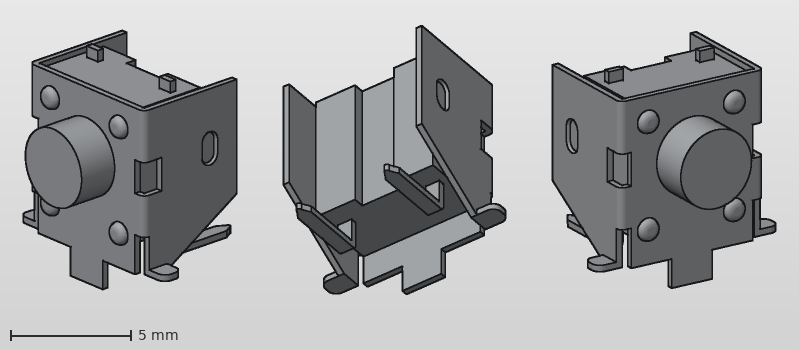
import cadquery as cq
import math


SHEET = 0.29
BRACKET_WIDTH = 7.1
BRACKET_HEIGHT = 7.5
BRACKET_DEPTH = 5.21
FRONT_WIDTH = 6.0
REAR_BOTTOM_Z = 2.355

TAB_WIDTH = 2.0
TAB_LENGTH = 1.3

CORNER_CUT_TOP = 1.785
WINDOW_BOTTOM = 3.65
WINDOW_HEIGHT = 1.5
WINDOW_DEPTH = 1.0

FOOT_SPAN = 9.0
FOOT_REAR = 1.31
FOOT_RADIUS = 0.405

RECESS_WIDTH = 0.865
RECESS_HEIGHT = 1.5
RECESS_DEPTH = 0.15
RECESS_INSET = 0.07
RECESS_Y = 3.7
RECESS_Z = 4.81

HOUSING_SIZE = 6.0
HOUSING_TOP = 7.4
HOUSING_REAR = 3.65
REAR_SLOT_WIDTH = 2.0
REAR_SLOT_DEPTH = 0.515
BUTTON_DIAMETER = 3.5
BUTTON_PROJECTION = 1.85
BUTTON_Z = 4.39

RIVET_RADIUS = 0.51
RIVET_HEIGHT = 0.3
RIVET_PITCH_X = 4.25
RIVET_PITCH_Z = 4.79
RIVET_CENTER_X = -0.06
RIVET_CENTER_Z = 3.965

PIN_PITCH = 4.5
PIN_WIDTH = 0.7
PIN_THICKNESS = 0.3
PIN_Y = 2.5
PIN_STUB = 0.405
PIN_TIP_Y = 6.0
PIN_TIP_RADIUS = 0.12
PIN_SHOULDER_Y = 5.49
PIN_BEND_RADIUS = 0.2

SIDES = (-1, 1)


def block(x_range, y_range, z_range):
    """Box between the given limits along each axis."""
    (x0, x1), (y0, y1), (z0, z1) = (sorted(limits) for limits in (x_range, y_range, z_range))
    return cq.Workplane("XY").box(x1 - x0, y1 - y0, z1 - z0, centered=False).translate((x0, y0, z0))


def folded_sheet():
    """Front plate and two side walls with sloped lower edges."""
    half = BRACKET_WIDTH / 2
    outside = (
        block((-half, half), (0, BRACKET_DEPTH), (0, BRACKET_HEIGHT))
        .edges("|Z and <Y")
        .fillet(SHEET)
    )
    inner = half - SHEET
    inside = block((-inner, inner), (SHEET, BRACKET_DEPTH), (0, BRACKET_HEIGHT))
    slope = (
        cq.Workplane("YZ")
        .polyline([(FOOT_REAR, 0), (BRACKET_DEPTH, 0), (BRACKET_DEPTH, REAR_BOTTOM_Z)])
        .close()
        .extrude(half, both=True)
    )
    return outside.cut(inside).cut(slope)


def corner_cuts(side):
    """Openings through one bend: the lower corner and the window."""
    edge = side * FRONT_WIDTH / 2
    outer = side * BRACKET_WIDTH / 2
    lower = block((edge, outer), (0, SHEET), (0, CORNER_CUT_TOP))
    window_z = (WINDOW_BOTTOM, WINDOW_BOTTOM + WINDOW_HEIGHT)
    window = block((edge, outer), (0, WINDOW_DEPTH), window_z)
    return lower.union(window)


def foot(side):
    """Flat foot bent outwards, with rounded outer corners."""
    wall_inside = side * (BRACKET_WIDTH / 2 - SHEET)
    tip_edges = "|Z and >X" if side > 0 else "|Z and <X"
    plate = block((wall_inside, side * FOOT_SPAN / 2), (SHEET, FOOT_REAR), (0, SHEET))
    return plate.edges(tip_edges).fillet(FOOT_RADIUS)


def wall_recess(side):
    """Tapered slot sunk into the outside of one side wall."""
    wall = cq.Plane(
        origin=(side * BRACKET_WIDTH / 2, RECESS_Y, RECESS_Z),
        xDir=(0, 0, 1),
        normal=(-side, 0, 0),
    )
    taper = math.degrees(math.atan2(RECESS_INSET, RECESS_DEPTH))
    return (
        cq.Workplane(wall)
        .slot2D(RECESS_HEIGHT, RECESS_WIDTH)
        .extrude(RECESS_DEPTH, taper=taper)
    )


def button():
    """Round button from the front of the housing out through the bracket."""
    return (
        cq.Workplane("XZ", origin=(0, SHEET, BUTTON_Z))
        .circle(BUTTON_DIAMETER / 2)
        .extrude(SHEET + BUTTON_PROJECTION)
    )


def make_bracket():
    """Folded bracket with its tab, feet, cut-outs and the hole for the button."""
    bracket = folded_sheet()
    half_tab = TAB_WIDTH / 2
    tab = block((-half_tab, half_tab), (0, SHEET), (-TAB_LENGTH, 0))
    bracket = bracket.union(tab)
    for side in SIDES:
        bracket = bracket.cut(corner_cuts(side)).union(foot(side)).cut(wall_recess(side))
    return bracket.cut(button())


def make_housing(pins):
    """Housing with its button, a slot down the back and a passage for each terminal."""
    half = HOUSING_SIZE / 2
    housing_z = (HOUSING_TOP - HOUSING_SIZE, HOUSING_TOP)
    body = block((-half, half), (SHEET, HOUSING_REAR), housing_z)
    half_slot = REAR_SLOT_WIDTH / 2
    rear_slot = block((-half_slot, half_slot), (HOUSING_REAR - REAR_SLOT_DEPTH, HOUSING_REAR), housing_z)
    housing = body.cut(rear_slot).union(button())
    for pin in pins:
        housing = housing.cut(pin)
    return housing


def make_rivet(x, z):
    """Rivet head on the front of the bracket: flat middle inside a quarter-round rim."""
    flat_radius = RIVET_RADIUS - RIVET_HEIGHT
    rim_offset = RIVET_HEIGHT * math.sqrt(0.5)
    return (
        cq.Workplane("XY")
        .moveTo(0, 0)
        .lineTo(RIVET_RADIUS, 0)
        .threePointArc((flat_radius + rim_offset, -rim_offset), (flat_radius, -RIVET_HEIGHT))
        .lineTo(0, -RIVET_HEIGHT)
        .close()
        .revolve(360, (0, 0, 0), (0, 1, 0))
        .translate((x, 0, z))
    )


def make_pin(x):
    """Terminal: upright strip bent back at the mounting plane into a pointed leg."""
    half = PIN_WIDTH / 2
    front = PIN_Y - PIN_THICKNESS / 2
    rear = PIN_Y + PIN_THICKNESS / 2
    top = BRACKET_HEIGHT + PIN_STUB
    tip_base = PIN_TIP_Y - PIN_TIP_RADIUS
    leg = (
        cq.Workplane("XY")
        .moveTo(-half, front)
        .lineTo(half, front)
        .lineTo(half, PIN_SHOULDER_Y)
        .lineTo(PIN_TIP_RADIUS, tip_base)
        .threePointArc((0, PIN_TIP_Y), (-PIN_TIP_RADIUS, tip_base))
        .lineTo(-half, PIN_SHOULDER_Y)
        .close()
        .extrude(PIN_THICKNESS)
    )
    upright = block((-half, half), (front, rear), (0, top))
    pin = leg.union(upright).edges("|X and <Y and <Z").fillet(PIN_BEND_RADIUS)
    return pin.translate((x, 0, 0))


pins = [make_pin(side * PIN_PITCH / 2) for side in SIDES]
rivets = [
    make_rivet(RIVET_CENTER_X + x_side * RIVET_PITCH_X / 2, RIVET_CENTER_Z + z_side * RIVET_PITCH_Z / 2)
    for x_side in SIDES
    for z_side in SIDES
]
bracket = make_bracket()
housing = make_housing(pins)

result = cq.Compound.makeCompound(
    [bracket.val(), housing.val()]
    + [rivet.val() for rivet in rivets]
    + [pin.val() for pin in pins]
)